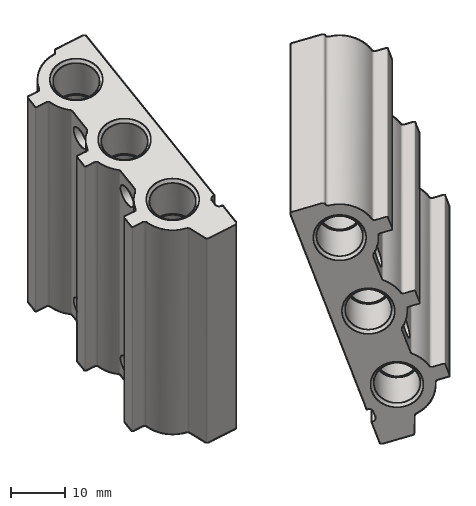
import cadquery as cq
import math

height = 61.5
width = 52.1
depth = 16.8
left_margin = 8
back_y = 7.0

bore_count = 3
bore_pitch = 16.5
bore_diameter = 8
thread_diameter = 8.55
thread_depth = 9.85
mouth_diameter = 9.7
mouth_depth = (mouth_diameter - thread_diameter) / 2

wall_radius = 7.15
ridge_width = 2.95
middle_ridge_setback = 0.25
root_fillet = 0.55
ridge_tip_fillet = 0.25
web_front_y = -4.55

flange_y = 0.35
flange_slope = math.radians(20)
corner_fillet = 0.5

groove_width = 2.7
groove_depth = 1.05
groove_right_margin = 6.45
groove_fillet = 0.77

mount_diameter = 4.5
mount_pitch_x = 16
mount_pitch_z = 51.3

left_x = -bore_pitch - left_margin
right_x = left_x + width
front_y = back_y - depth
bore_x = [(i - (bore_count - 1) / 2) * bore_pitch for i in range(bore_count)]
bore_points = [(x, 0) for x in bore_x]


def prism(sketch):
    """Extrude a closed outline over the full height, centred on Z = 0."""
    return sketch.extrude(height / 2, both=True)


def vertical_edges(body, points):
    """Pick the full-height edges of a body that pass through the given XY points."""
    tolerance = 0.005
    edges = []
    for edge in body.edges("|Z").vals():
        middle = edge.Center()
        if any(math.hypot(middle.x - x, middle.y - y) < tolerance for x, y in points):
            edges.append(edge)
    return body.newObject(edges)


def flange_root(side, margin):
    """Point where a flange underside meets the outermost wall; side is -1 (left) or 1 (right)."""
    toward_wall = margin * math.cos(flange_slope) + flange_y * math.sin(flange_slope)
    corner_distance = math.hypot(margin, flange_y)
    length = toward_wall - math.sqrt(toward_wall**2 - corner_distance**2 + wall_radius**2)
    x = side * (bore_x[-1] + margin - length * math.cos(flange_slope))
    return x, flange_y - length * math.sin(flange_slope)


def make_plate():
    """Back plate with a web across the front and a sloped flange on each side."""
    outline = [
        (left_x, back_y),
        (right_x, back_y),
        (right_x, flange_y),
        right_root,
        (bore_x[-1], web_front_y),
        (bore_x[0], web_front_y),
        left_root,
        (left_x, flange_y),
    ]
    plate = prism(cq.Workplane("XY").polyline(outline).close())
    corners = [(x, y) for x in (left_x, right_x) for y in (back_y, flange_y)]
    return vertical_edges(plate, corners).fillet(corner_fillet)


def make_ridge(x, tip_y):
    """Rectangular ridge from a bore axis to its rounded front tip."""
    ridge = prism(cq.Workplane("XY").center(x, tip_y / 2).rect(ridge_width, -tip_y))
    tips = [(x + side * ridge_width / 2, tip_y) for side in (-1, 1)]
    return vertical_edges(ridge, tips).fillet(ridge_tip_fillet)


def make_profile():
    """Plate, round bore walls and ridges joined, with rounded ridge roots."""
    walls = prism(cq.Workplane("XY").pushPoints(bore_points).circle(wall_radius))
    behind_plate = cq.Workplane("XY").box(width, depth, height).translate((0, back_y + depth / 2, 0))
    body = make_plate().union(walls.cut(behind_plate))
    for x in bore_x:
        setback = middle_ridge_setback if x == 0 else 0
        body = body.union(make_ridge(x, front_y + setback))
    half_ridge = ridge_width / 2
    root_y = -math.sqrt(wall_radius**2 - half_ridge**2)
    roots = [(x + side * half_ridge, root_y) for x in bore_x for side in (-1, 1)]
    half_web_gap = math.sqrt(wall_radius**2 - web_front_y**2)
    roots += [(x + half_web_gap, web_front_y) for x in bore_x[:-1]]
    roots += [(x - half_web_gap, web_front_y) for x in bore_x[1:]]
    roots += [left_root, right_root]
    return vertical_edges(body, roots).fillet(root_fillet)


def make_bore():
    """One stepped bore: chamfered mouths, threaded ends and a narrower middle."""
    half = height / 2
    section = [
        (0, half),
        (mouth_diameter / 2, half),
        (thread_diameter / 2, half - mouth_depth),
        (thread_diameter / 2, half - thread_depth),
        (bore_diameter / 2, half - thread_depth),
    ]
    mirrored = [(r, -z) for r, z in reversed(section)]
    return cq.Workplane("XZ").polyline(section + mirrored).close().revolve(360, (0, 0), (0, 1))


def make_back_groove():
    """Shallow groove along the back face with rounded floor corners."""
    x = right_x - groove_right_margin
    groove = prism(cq.Workplane("XY").center(x, back_y).rect(groove_width, 2 * groove_depth))
    return groove.edges("|Z and <Y").fillet(groove_fillet)


def make_mount_holes():
    """Four holes running front to back through the webs."""
    pattern = cq.Workplane("XZ").rect(mount_pitch_x, mount_pitch_z, forConstruction=True).vertices()
    return pattern.circle(mount_diameter / 2).extrude(depth, both=True)


left_root = flange_root(-1, left_margin)
right_root = flange_root(1, right_x - bore_x[-1])

result = make_profile()
for bore_axis_x in bore_x:
    result = result.cut(make_bore().translate((bore_axis_x, 0, 0)))
result = result.cut(make_back_groove())
result = result.cut(make_mount_holes())